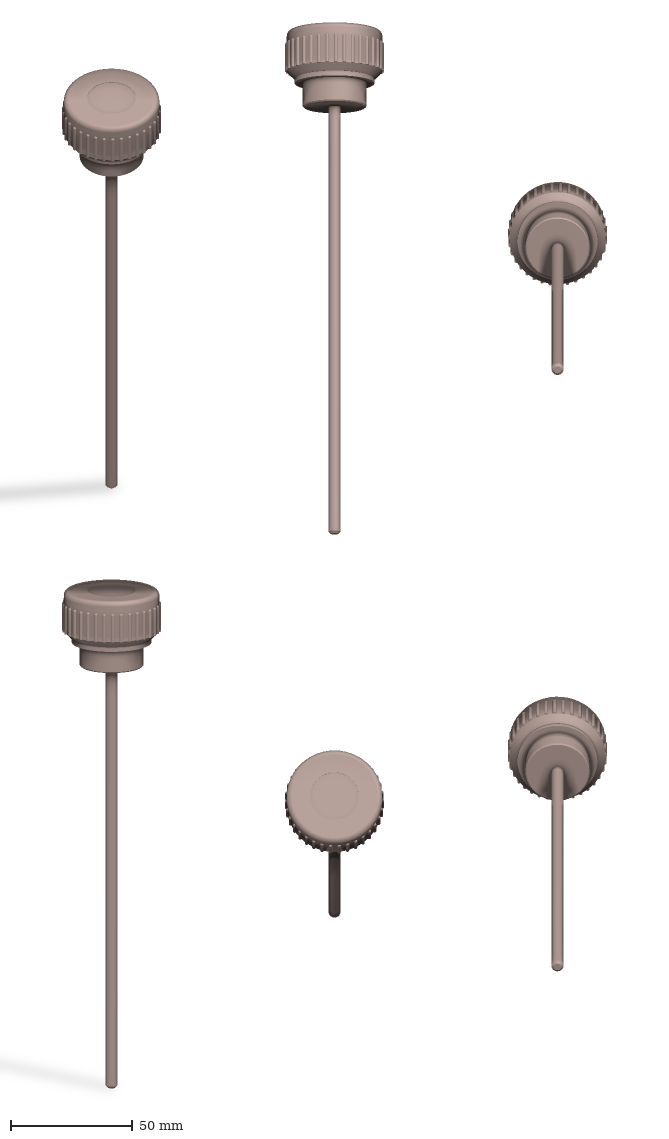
import cadquery as cq
import math

OVERALL_LENGTH = 212.0
ROD_LENGTH = 180.0
NECK_BOTTOM_Z = ROD_LENGTH - OVERALL_LENGTH
COLLAR_BOTTOM_Z = -22.0
CONE_BOTTOM_Z = -20.0
GRIP_BOTTOM_Z = -17.0

HEAD_DIAMETER = 39.5
COLLAR_DIAMETER = 33.0
NECK_DIAMETER = 26.44
ROD_DIAMETER = 5.0

CONE_BOTTOM_DIAMETER = HEAD_DIAMETER - 2 * (GRIP_BOTTOM_Z - CONE_BOTTOM_Z)

HEAD_EDGE_RADIUS = 2.0
NECK_EDGE_CHAMFER = 0.5
ROD_TIP_CHAMFER = 1.0

RECESS_DIAMETER = 20.0
RECESS_DEPTH = 0.2

RIB_COUNT = 35
RIB_TIP_DIAMETER = 41.0
RIB_RADIUS = (RIB_TIP_DIAMETER - HEAD_DIAMETER) / 2
RIB_TOP_Z = -5.0


def make_turned_body():
    """Knob head, collar, neck and rod as one revolved profile."""
    head_r = HEAD_DIAMETER / 2
    collar_r = COLLAR_DIAMETER / 2
    neck_r = NECK_DIAMETER / 2
    rod_r = ROD_DIAMETER / 2
    arc_inset = HEAD_EDGE_RADIUS * (1 - math.sqrt(0.5))

    profile = (
        cq.Workplane("XZ")
        .moveTo(0, 0)
        .lineTo(head_r - HEAD_EDGE_RADIUS, 0)
        .threePointArc((head_r - arc_inset, -arc_inset), (head_r, -HEAD_EDGE_RADIUS))
        .lineTo(head_r, GRIP_BOTTOM_Z)
        .lineTo(CONE_BOTTOM_DIAMETER / 2, CONE_BOTTOM_Z)
        .lineTo(collar_r, CONE_BOTTOM_Z)
        .lineTo(collar_r, COLLAR_BOTTOM_Z)
        .lineTo(neck_r, COLLAR_BOTTOM_Z)
        .lineTo(neck_r, NECK_BOTTOM_Z + NECK_EDGE_CHAMFER)
        .lineTo(neck_r - NECK_EDGE_CHAMFER, NECK_BOTTOM_Z)
        .lineTo(rod_r, NECK_BOTTOM_Z)
        .lineTo(rod_r, ROD_TIP_CHAMFER - OVERALL_LENGTH)
        .lineTo(rod_r - ROD_TIP_CHAMFER, -OVERALL_LENGTH)
        .lineTo(0, -OVERALL_LENGTH)
        .close()
    )
    return profile.revolve(360, (0, 0, 0), (0, 1, 0))


def make_rib():
    """One upright rib at angle zero, flat below and domed on top."""
    shoulder_z = RIB_TOP_Z - RIB_RADIUS
    dome_offset = RIB_RADIUS * math.sqrt(0.5)
    half_section = (
        cq.Workplane("XZ", origin=(HEAD_DIAMETER / 2, 0, 0))
        .moveTo(0, GRIP_BOTTOM_Z)
        .lineTo(RIB_RADIUS, GRIP_BOTTOM_Z)
        .lineTo(RIB_RADIUS, shoulder_z)
        .threePointArc((dome_offset, shoulder_z + dome_offset), (0, RIB_TOP_Z))
        .close()
    )
    return half_section.revolve(360, (0, 0, 0), (0, 1, 0))


def add_grip_ribs(body):
    rib = make_rib()
    ribs = []
    for index in range(RIB_COUNT):
        angle = 360 * index / RIB_COUNT
        ribs.append(rib.rotate((0, 0, 0), (0, 0, 1), angle).val())
    return body.newObject([body.val().fuse(*ribs)])


def cut_top_recess(body):
    recess = cq.Workplane("XY").circle(RECESS_DIAMETER / 2).extrude(-RECESS_DEPTH)
    return body.cut(recess)


result = cut_top_recess(add_grip_ribs(make_turned_body()))